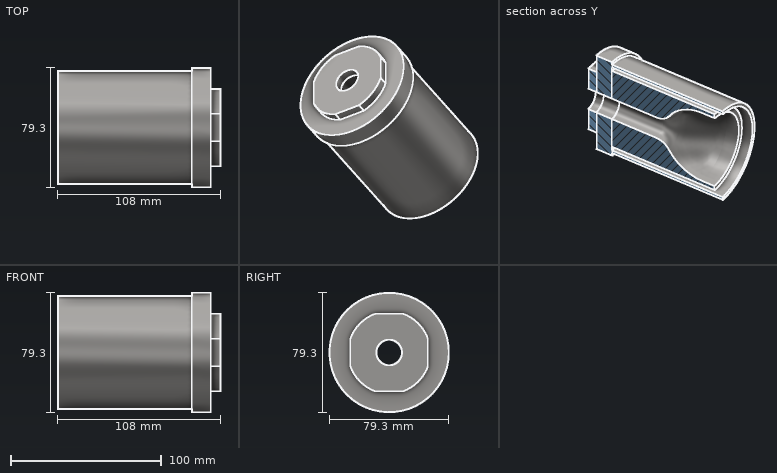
import cadquery as cq
import math

overall_length = 108.0
nut_length = 6.5
flange_length = 12.6
casing_length = overall_length - flange_length - nut_length

casing_outer_radius = 37.6
casing_inner_radius = 34.9
flange_diameter = 79.3

nozzle_setback = 6.6
nozzle_outer_radius = 32.3
bore_radius = 28.5
bore_length = 10.0
bowl_rounding = 31.4
throat_radius = 8.4
throat_rounding = 12.5

nut_radius = 27.3
nut_across_flats = 51.5


def ring(start, length, outer_radius, inner_radius):
    """A hollow cylinder along +X that begins at X = start."""
    return (
        cq.Workplane("YZ", origin=(start, 0, 0))
        .circle(outer_radius)
        .circle(inner_radius)
        .extrude(length)
    )


def make_casing():
    """The open outer tube."""
    return ring(0, casing_length, casing_outer_radius, casing_inner_radius)


def make_flange():
    """The end plate that closes the casing, with the throat running through it."""
    return ring(casing_length, flange_length, flange_diameter / 2, throat_radius)


def make_nozzle():
    """A turned body: a straight bore, a rounded bowl that narrows from it, and a rounded throat."""
    bowl_start = nozzle_setback + bore_length
    bowl_center_radius = bore_radius - bowl_rounding
    throat_center_radius = throat_radius + throat_rounding
    center_distance = bowl_rounding + throat_rounding
    bowl_angle = math.acos((throat_center_radius - bowl_center_radius) / center_distance)
    throat_start = bowl_start + center_distance * math.sin(bowl_angle)

    def bowl_point(angle):
        return (
            bowl_start + bowl_rounding * math.sin(angle),
            bowl_center_radius + bowl_rounding * math.cos(angle),
        )

    def throat_point(angle):
        return (
            throat_start - throat_rounding * math.sin(angle),
            throat_center_radius - throat_rounding * math.cos(angle),
        )

    profile = (
        cq.Workplane("XZ")
        .moveTo(nozzle_setback, nozzle_outer_radius)
        .lineTo(nozzle_setback, bore_radius)
        .lineTo(bowl_start, bore_radius)
        .threePointArc(bowl_point(bowl_angle / 2), bowl_point(bowl_angle))
        .threePointArc(throat_point(bowl_angle / 2), throat_point(0))
        .lineTo(casing_length, throat_radius)
        .lineTo(casing_length, nozzle_outer_radius)
        .close()
    )
    return profile.revolve(360, (0, 0, 0), (1, 0, 0))


def make_nut():
    """A disc trimmed by a square to leave four flats, with the throat running through it."""
    nut_start = casing_length + flange_length
    disc = ring(nut_start, nut_length, nut_radius, throat_radius)
    flats = (
        cq.Workplane("YZ", origin=(nut_start, 0, 0))
        .rect(nut_across_flats, nut_across_flats)
        .extrude(nut_length)
    )
    return disc.intersect(flats)


casing = make_casing()
flange = make_flange()
nozzle = make_nozzle()
nut = make_nut()

result = cq.Compound.makeCompound([casing.val(), flange.val(), nozzle.val(), nut.val()])